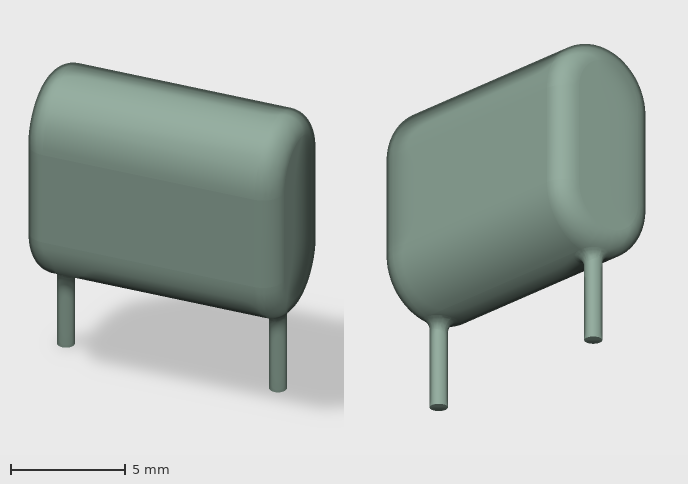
import cadquery as cq

body_length = 12.0
body_depth = 5.5
body_height = 10.0
end_rounding = 1.0
total_height = 14.0
lead_diameter = 0.8
lead_fillet = 0.5

lead_x = body_length / 2 - end_rounding
lead_length = total_height - body_height
body_center_z = body_height / 2


def make_body():
    """Capsule-shaped bar along X with both ends rounded."""
    bar = (
        cq.Workplane("YZ")
        .center(0, body_center_z)
        .slot2D(body_height, body_depth, 90)
        .extrude(body_length / 2, both=True)
    )
    return bar.faces("<X or >X").edges().fillet(end_rounding)


def make_leads():
    """Two round wires running from inside the body down to the tips."""
    return (
        cq.Workplane("XY", origin=(0, 0, -lead_length))
        .pushPoints([(-lead_x, 0), (lead_x, 0)])
        .circle(lead_diameter / 2)
        .extrude(lead_length + body_center_z)
    )


def blend_leads(part):
    """Fillet the joints where the leads leave the body."""
    joint_zone = cq.selectors.BoxSelector(
        (-lead_x - lead_diameter, -lead_diameter, -lead_diameter),
        (lead_x + lead_diameter, lead_diameter, lead_diameter),
    )
    joints = part.faces("%CYLINDER").edges(joint_zone)
    return joints.fillet(lead_fillet)


result = blend_leads(make_body().union(make_leads()))